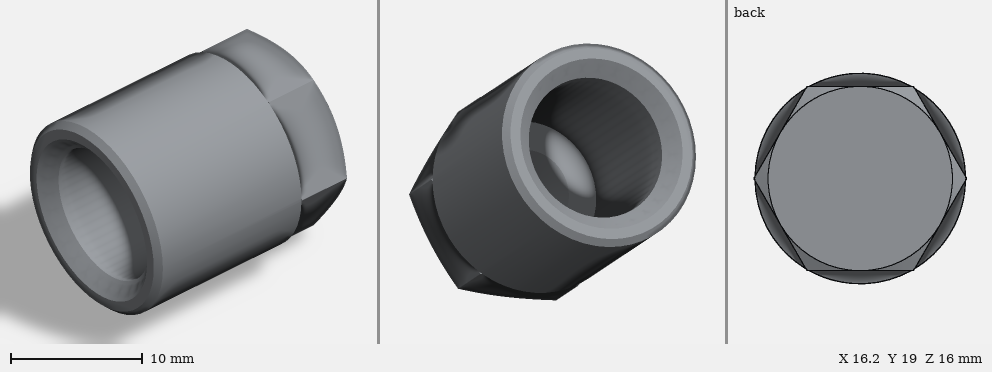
import cadquery as cq
import math

length = 19.0
body_diameter = 16.0
hex_length = 5.0
hex_across_flats = 14.0
front_chamfer = 0.5
bore_diameter = 11.0
countersink_diameter = 13.38
tip_diameter = 6.5
tip_half_angle = 59.0
hex_chamfer_angle = 30.0

body_length = length - hex_length
hex_across_corners = hex_across_flats / math.cos(math.radians(30))
countersink_depth = (countersink_diameter - bore_diameter) / 2
bore_depth = body_length
tip_depth = tip_diameter / 2 / math.tan(math.radians(tip_half_angle))


def revolve_profile(points):
    """Revolve a closed (radius, y) outline about the Y axis."""
    return cq.Workplane("XY").polyline(points).close().revolve(360, (0, 0), (0, 1))


def make_body():
    radius = body_diameter / 2
    return revolve_profile([
        (0, 0),
        (radius - front_chamfer, 0),
        (radius, front_chamfer),
        (radius, body_length),
        (0, body_length),
    ])


def make_hex_head():
    """Hexagon with corners on +X and -X, its end corners cut by a cone."""
    prism = (
        cq.Workplane("XZ", origin=(0, body_length, 0))
        .polygon(6, hex_across_corners)
        .extrude(-hex_length)
    )
    flat_radius = hex_across_flats / 2
    outer_radius = hex_across_corners
    cone_drop = (outer_radius - flat_radius) * math.tan(math.radians(hex_chamfer_angle))
    envelope = revolve_profile([
        (0, 0),
        (outer_radius, 0),
        (outer_radius, length - cone_drop),
        (flat_radius, length),
        (0, length),
    ])
    return prism.intersect(envelope)


def make_cavity():
    """Countersunk blind bore with a conical drill point in its floor."""
    return revolve_profile([
        (0, 0),
        (countersink_diameter / 2, 0),
        (bore_diameter / 2, countersink_depth),
        (bore_diameter / 2, bore_depth),
        (tip_diameter / 2, bore_depth),
        (0, bore_depth + tip_depth),
    ])


result = make_body().union(make_hex_head()).cut(make_cavity())